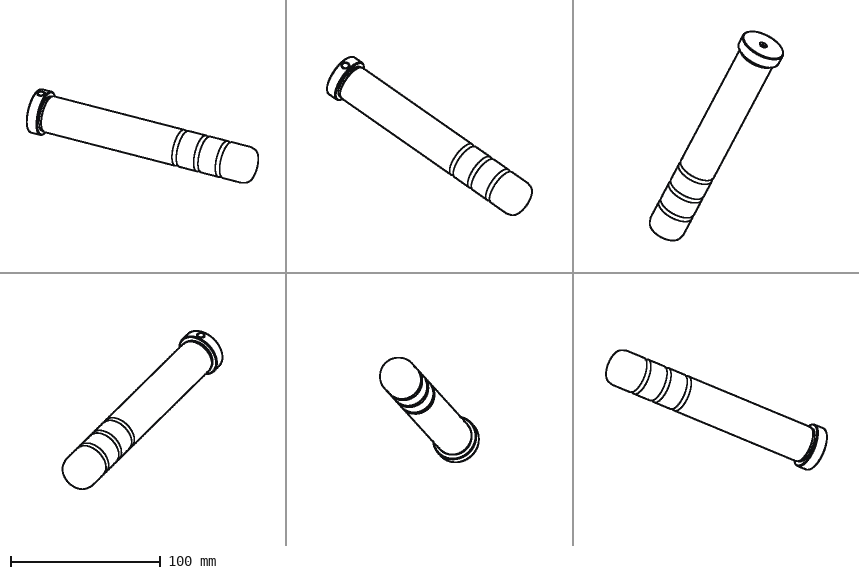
import cadquery as cq
import math

length = 160.0
head_radius = 15.0
head_length = 8.0
head_chamfer = 0.56
shaft_radius = 12.5

relief_radius = 12.0
relief_end = 10.0

first_groove = 108.0
groove_pitch = 16.0
groove_count = 3
groove_width = 3.2
groove_depth = 0.6

lead_length = 5.0
lead_angle = math.radians(15)
tip_rounding = 3.0

bore_diameter = 3.5
mouth_diameter = 5.5
bore_depth = 4.8
drill_point_angle = math.radians(60)

ring_x = head_length / 2
ring_outer_diameter = 5.5
ring_inner_diameter = 4.3
ring_depth = 0.2


def pin_body():
    """Revolve the head, relief, shaft and lead-in about X."""
    lead_start = length - lead_length
    rounding_start = length - tip_rounding * (1 - math.sin(lead_angle))
    taper_drop = (rounding_start - lead_start) * math.tan(lead_angle)
    rounding_top = shaft_radius - taper_drop
    center_radius = rounding_top - tip_rounding * math.cos(lead_angle)
    center_x = length - tip_rounding
    mid_angle = (math.pi / 2 - lead_angle) / 2
    rounding_middle = (
        center_x + tip_rounding * math.cos(mid_angle),
        center_radius + tip_rounding * math.sin(mid_angle),
    )
    relief_slope = shaft_radius - relief_radius
    return (
        cq.Workplane("XY")
        .moveTo(0, 0)
        .lineTo(0, head_radius - head_chamfer)
        .lineTo(head_chamfer, head_radius)
        .lineTo(head_length - head_chamfer, head_radius)
        .lineTo(head_length, head_radius - head_chamfer)
        .lineTo(head_length, relief_radius)
        .lineTo(relief_end - relief_slope, relief_radius)
        .lineTo(relief_end, shaft_radius)
        .lineTo(lead_start, shaft_radius)
        .lineTo(rounding_start, rounding_top)
        .threePointArc(rounding_middle, (length, center_radius))
        .lineTo(length, 0)
        .close()
        .revolve(360, (0, 0, 0), (1, 0, 0))
    )


def groove(center_x):
    """Ring to remove for one arc-bottomed groove."""
    outer_radius = shaft_radius + groove_depth
    half_width = groove_width / 2
    return (
        cq.Workplane("XY")
        .moveTo(center_x - half_width, outer_radius)
        .lineTo(center_x - half_width, shaft_radius)
        .threePointArc(
            (center_x, shaft_radius - groove_depth),
            (center_x + half_width, shaft_radius),
        )
        .lineTo(center_x + half_width, outer_radius)
        .close()
        .revolve(360, (0, 0, 0), (1, 0, 0))
    )


def centre_hole():
    """Solid to remove for the centre hole, revolved about X."""
    bore_radius = bore_diameter / 2
    mouth_radius = mouth_diameter / 2
    countersink_depth = mouth_radius - bore_radius
    point_depth = bore_radius / math.tan(drill_point_angle)
    return (
        cq.Workplane("XY")
        .moveTo(0, 0)
        .lineTo(0, mouth_radius)
        .lineTo(countersink_depth, bore_radius)
        .lineTo(bore_depth, bore_radius)
        .lineTo(bore_depth + point_depth, 0)
        .close()
        .revolve(360, (0, 0, 0), (1, 0, 0))
    )


def rim_ring():
    """Annular cut of even depth below the curved rim."""
    tube = (
        cq.Workplane("XY")
        .center(ring_x, 0)
        .circle(ring_outer_diameter / 2)
        .circle(ring_inner_diameter / 2)
        .extrude(head_radius + ring_depth)
    )
    core = cq.Workplane("YZ").circle(head_radius - ring_depth).extrude(head_length)
    return tube.cut(core)


result = pin_body()
for index in range(groove_count):
    result = result.cut(groove(first_groove + index * groove_pitch))
result = result.cut(centre_hole()).cut(rim_ring())